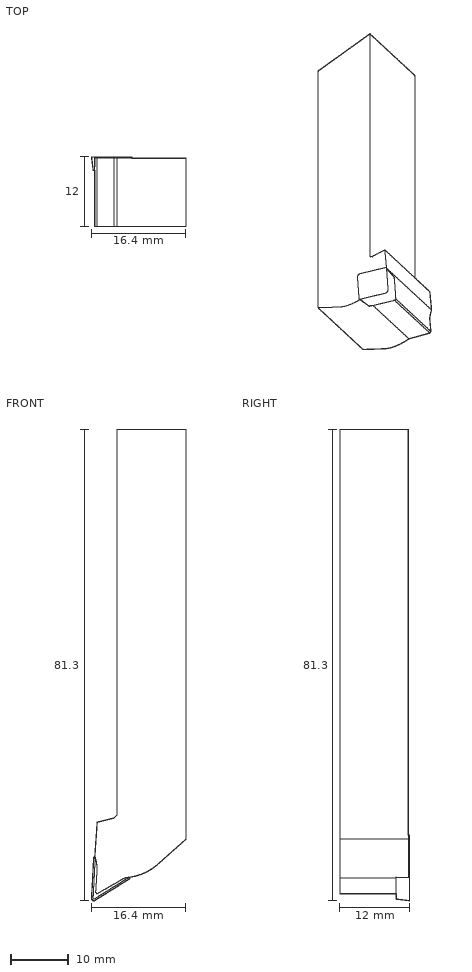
import cadquery as cq
import math

overall_length = 81.35
shank_right = 16.35
shank_width = 11.95
shank_depth = 11.8
shank_left = shank_right - shank_width

shank_corner_z = 10.65
underside_arc_start = (11.2, 6.1)
underside_arc_middle = (8.8, 4.6)
underside_arc_end = (5.8, 4.0)
tip_bottom = (1.0, 1.2)
tip_side = (0.7, 1.5)
relief_bottom = (1.0, 5.3)
relief_middle = (0.9, 6.5)
relief_top = (0.6, 7.7)
shoulder_outer = (1.0, 13.6)
shoulder_inner = (3.9, 14.3)
shoulder_top = (shank_left, 14.8)

insert_top_y = 12.0
insert_thickness = 2.35
insert_nose_radius = 0.4
insert_center_side = 6.9
insert_corner_angle = 55.0
insert_side_lean = 3.0
insert_clearance = 7.0


def make_insert():
    """Rhombic plate whose rounded nose touches x = 0 and z = 0."""
    lean = math.radians(insert_side_lean)
    opening = math.radians(insert_side_lean + insert_corner_angle)
    side_x = insert_center_side * math.sin(lean)
    side_z = insert_center_side * math.cos(lean)
    edge_x = insert_center_side * math.sin(opening)
    edge_z = insert_center_side * math.cos(opening)
    nose = insert_nose_radius
    corner_centers = [
        (nose, nose),
        (nose + edge_x, nose + edge_z),
        (nose + edge_x + side_x, nose + edge_z + side_z),
        (nose + side_x, nose + side_z),
    ]
    return (
        cq.Workplane("XZ", origin=(0, insert_top_y, 0))
        .polyline(corner_centers)
        .close()
        .offset2D(insert_nose_radius)
        .extrude(insert_thickness, taper=insert_clearance)
    )


def make_holder(insert):
    """Shank and head in one piece, with a pocket that fits the insert."""
    blank = (
        cq.Workplane("XZ")
        .moveTo(shank_left, overall_length)
        .lineTo(shank_right, overall_length)
        .lineTo(shank_right, shank_corner_z)
        .lineTo(*underside_arc_start)
        .threePointArc(underside_arc_middle, underside_arc_end)
        .lineTo(*tip_bottom)
        .lineTo(*tip_side)
        .lineTo(*relief_bottom)
        .threePointArc(relief_middle, relief_top)
        .lineTo(*shoulder_outer)
        .lineTo(*shoulder_inner)
        .lineTo(*shoulder_top)
        .close()
        .extrude(-shank_depth)
    )
    return blank.cut(insert).solids()


insert = make_insert()
holder = make_holder(insert)

result = cq.Compound.makeCompound([holder.val(), insert.val()])